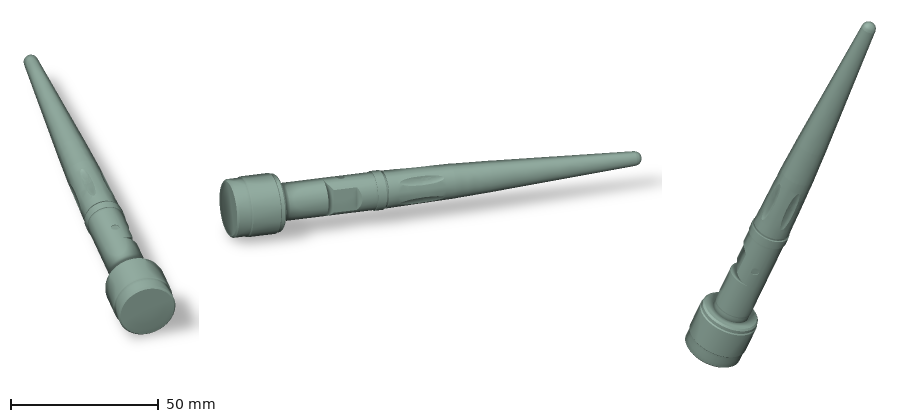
import cadquery as cq
import math

total_length = 147.2
tip_end_x = 2.4
front_cone_end_x = 54.7
middle_cone_end_x = 68.0
groove_start_x = 92.0
groove_end_x = 92.9
ring_end_x = 96.0
joint_x = 113.6
neck_start_x = 127.2
head_start_x = 129.7
band_start_x = 131.4
band_end_x = 142.0

tip_radius = 5.0 / 2
front_cone_radius = 10.7 / 2
middle_cone_radius = 11.9 / 2
shaft_radius = 13.0 / 2
groove_radius = 12.0 / 2
ring_radius = 13.5 / 2
neck_radius = 12.8 / 2
head_radius = 20.0 / 2
band_radius = 20.8 / 2

neck_step = 0.5
head_chamfer = 0.6
spigot_radius = 3.4
spigot_length = 8.8

dimple_count = 5
first_dimple_angle = 180.0
dimple_center_x = 79.8
dimple_length = 15.9
dimple_width = 3.2
dimple_bottom_radius = 2.6

notch_start_x = 101.5
notch_flat_start_x = 103.0
notch_flat_end_x = 111.3
notch_flat_y = 5.0
notch_deep_y = 0.5
notch_drop_bulge = 0.5

side_hole_x = 107.1
side_hole_radius = 1.4
side_hole_depth = 0.37


def make_needle_blank():
    """Round-tipped tapered needle with a raised ring, turned about X."""
    tip_arc_angle = math.pi / 4
    tip_mid = (
        tip_end_x * (1 - math.cos(tip_arc_angle)),
        tip_radius * math.sin(tip_arc_angle),
    )
    return (
        cq.Workplane("XZ")
        .moveTo(0, 0)
        .threePointArc(tip_mid, (tip_end_x, tip_radius))
        .lineTo(front_cone_end_x, front_cone_radius)
        .lineTo(middle_cone_end_x, middle_cone_radius)
        .lineTo(groove_start_x, shaft_radius)
        .lineTo(groove_start_x, groove_radius)
        .lineTo(groove_end_x, groove_radius)
        .lineTo(groove_end_x, ring_radius)
        .lineTo(ring_end_x, ring_radius)
        .lineTo(ring_end_x, shaft_radius)
        .lineTo(joint_x, shaft_radius)
        .lineTo(joint_x, 0)
        .close()
        .revolve(360, (0, 0, 0), (1, 0, 0))
    )


def make_dimple_cutter():
    """Ellipsoid lying along the cone surface on the +Y side."""
    cone_slope = (shaft_radius - middle_cone_radius) / (groove_start_x - middle_cone_end_x)
    surface_radius = middle_cone_radius + cone_slope * (dimple_center_x - middle_cone_end_x)
    rim_drop = surface_radius - math.sqrt(surface_radius**2 - (dimple_width / 2) ** 2)
    height_over_sides = math.sqrt(dimple_bottom_radius**2 - (dimple_width / 2) ** 2)
    height_over_tips = height_over_sides - rim_drop
    half_length = dimple_length / 2 / math.sqrt(1 - (height_over_tips / dimple_bottom_radius) ** 2)
    return (
        cq.Workplane("XY")
        .moveTo(-half_length, 0)
        .ellipseArc(half_length, dimple_bottom_radius, 180, 360, startAtCurrent=True)
        .close()
        .revolve(360, (0, 0, 0), (1, 0, 0))
        .rotate((0, 0, 0), (0, 0, 1), math.degrees(math.atan(cone_slope)))
        .translate((dimple_center_x, surface_radius + height_over_tips, 0))
    )


def make_notch_cutter():
    """Sloped entry, flat floor and a rounded drop to the joint, cut right across in Z."""
    outside_y = 2 * shaft_radius
    return (
        cq.Workplane("XY")
        .moveTo(notch_start_x, outside_y)
        .lineTo(notch_start_x, shaft_radius)
        .lineTo(notch_flat_start_x, notch_flat_y)
        .lineTo(notch_flat_end_x, notch_flat_y)
        .sagittaArc((joint_x, notch_deep_y), notch_drop_bulge)
        .lineTo(joint_x, outside_y)
        .close()
        .extrude(outside_y, both=True)
    )


def make_side_hole_cutter(side):
    """Blind hole along Z; side is +1 for the top and -1 for the underside."""
    floor_z = shaft_radius - side_hole_depth
    return (
        cq.Workplane("XY", origin=(side_hole_x, 0, side * floor_z))
        .circle(side_hole_radius)
        .extrude(side * shaft_radius)
    )


def make_spigot():
    """Plain pin of the handle that plugs into the needle's bore."""
    return (
        cq.Workplane("YZ", origin=(joint_x - spigot_length, 0, 0))
        .circle(spigot_radius)
        .extrude(spigot_length)
    )


def make_needle():
    needle = make_needle_blank()
    for index in range(dimple_count):
        angle = first_dimple_angle + index * 360 / dimple_count
        needle = needle.cut(make_dimple_cutter().rotate((0, 0, 0), (1, 0, 0), angle))
    needle = needle.cut(make_notch_cutter())
    for side in (1, -1):
        needle = needle.cut(make_side_hole_cutter(side))
    return needle.cut(make_spigot())


def make_handle():
    """Shaft, neck and banded head turned about X, with the spigot at the front."""
    band_step = band_radius - head_radius
    turned = (
        cq.Workplane("XZ")
        .moveTo(joint_x, 0)
        .lineTo(joint_x, shaft_radius)
        .lineTo(neck_start_x, shaft_radius)
        .lineTo(neck_start_x + neck_step, neck_radius)
        .lineTo(head_start_x, neck_radius)
        .lineTo(head_start_x, head_radius - head_chamfer)
        .lineTo(head_start_x + head_chamfer, head_radius)
        .lineTo(band_start_x, head_radius)
        .lineTo(band_start_x + band_step, band_radius)
        .lineTo(band_end_x - band_step, band_radius)
        .lineTo(band_end_x, head_radius)
        .lineTo(total_length - head_chamfer, head_radius)
        .lineTo(total_length, head_radius - head_chamfer)
        .lineTo(total_length, 0)
        .close()
        .revolve(360, (0, 0, 0), (1, 0, 0))
    )
    return turned.union(make_spigot())


needle = make_needle()
handle = make_handle()

result = cq.Compound.makeCompound([needle.solids().val(), handle.solids().val()])